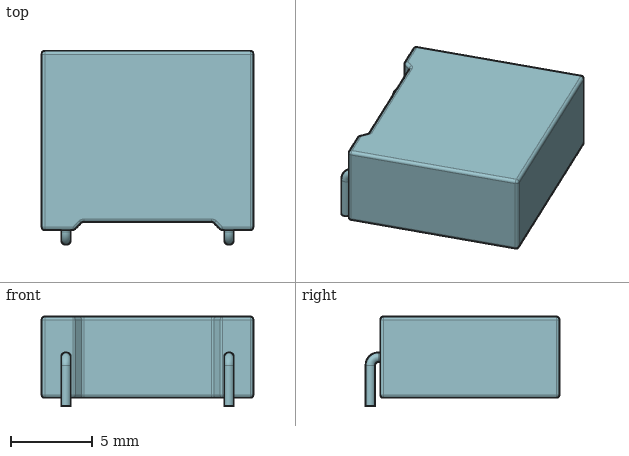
import cadquery as cq

body_width = 13.0
body_depth = 11.0
body_height = 5.0
edge_radius = 0.2

recess_depth = 0.5
foot_width = 2.0

lead_pitch = 10.0
lead_diameter = 0.6
lead_bend_radius = 0.5
lead_straight_length = 0.1
lead_exit_height = body_height / 2
lead_drop = 0.5
lead_embedding = 0.5

front_y = lead_straight_length + lead_bend_radius
back_y = front_y + body_depth


def make_body():
    half_width = body_width / 2
    recess_half_mouth = half_width - foot_width
    recess_half_floor = recess_half_mouth - recess_depth
    recess_floor_y = front_y + recess_depth
    block = (
        cq.Workplane("XY")
        .moveTo(-half_width, back_y)
        .lineTo(-half_width, front_y)
        .lineTo(-recess_half_mouth, front_y)
        .lineTo(-recess_half_floor, recess_floor_y)
        .lineTo(recess_half_floor, recess_floor_y)
        .lineTo(recess_half_mouth, front_y)
        .lineTo(half_width, front_y)
        .lineTo(half_width, back_y)
        .close()
        .extrude(body_height)
    )
    return block.edges().fillet(edge_radius)


def make_lead(x):
    bend_end_z = lead_exit_height - lead_bend_radius
    path = (
        cq.Workplane("YZ", origin=(x, 0, 0))
        .moveTo(0, -lead_drop)
        .lineTo(0, bend_end_z)
        .radiusArc((lead_bend_radius, lead_exit_height), lead_bend_radius)
        .lineTo(front_y + lead_embedding, lead_exit_height)
    )
    return cq.Workplane("XY", origin=(x, 0, -lead_drop)).circle(lead_diameter / 2).sweep(path)


result = make_body()
for side in (-1, 1):
    result = result.union(make_lead(side * lead_pitch / 2))